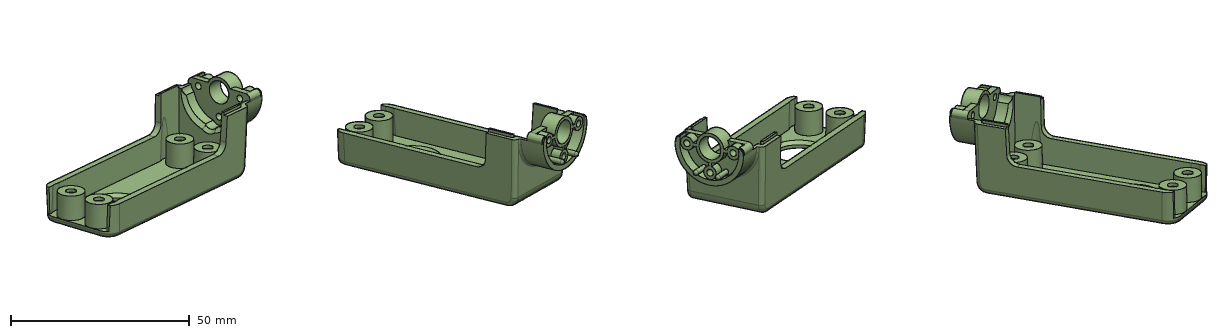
import cadquery as cq
import math

overall_width = 25.7
overall_height = 25.5
far = 144.1

axis_z = 21.05
wall_half_top = overall_width / 2
outer_draft = 1.7
rear_y_base = 61.4
front_corner_r = 4.0
rear_bottom_r = 3.2
edge_r = 1.4
floor_t = 2.0
cavity_half = 10.15
cavity_rear_y = 59.45
cavity_draft = 2.0
cavity_fillet = 0.95
side_wall_front_y = 1.0
low_wall_z = 10.0
step_y_top = 52.0
step_y_bottom = 51.7
step_r = 3.2

tongue_top = 21.9
tongue_half = 11.6
tongue_rear_y = 60.0
tongue_corner_r = 0.5

boss_x = 5.0
boss_ys = (4.0, 53.1)
boss_r_base = 3.95
boss_r_top = 3.9
boss_top = 9.4
boss_hole_r = 1.5
boss_bore_r = 2.5
boss_lip_t = 1.0
boss_clearance_r = 5.6
opening_y = 18.6
opening_r = 7.0
opening_chamfer = 1.0

flange_front_y = 64.5
web_back_y = 66.6
hub_back_y = 69.6
rim_back_y = 70.05
rim_r = 11.0
rim_t = 1.6
lip_inset = 0.2
flange_top = 23.05
hub_r = overall_height - axis_z
bore_r = 3.45
screw_circle_r = 7.4
screw_angles = (0, 180, 270)
screw_hole_r = 1.0
screw_boss_r = 2.0
rib_t = 1.0
recess_r = 9.15
recess_lobe_r = 2.5
flare_size = 0.95
junction_r = 0.6

pin_x = 3.5
pin_z = 13.55
pin_r = 0.8
pin_tip_y = 72.05
pin_round = 0.7


def box(x0, x1, y0, y1, z0, z1):
    return cq.Workplane("XY").box(x1 - x0, y1 - y0, z1 - z0, centered=False).translate((x0, y0, z0))


def disc(radius, y0, y1, x=0.0, z=axis_z):
    """Cylinder along Y between y0 and y1."""
    return cq.Workplane("XZ", origin=(x, y0, z)).circle(radius).extrude(y0 - y1)


def screw_points():
    """(x, z) centres of the flange screws."""
    points = []
    for angle in screw_angles:
        turn = math.radians(angle)
        points.append((screw_circle_r * math.cos(turn), axis_z + screw_circle_r * math.sin(turn)))
    return points


def drafted_block(half, y0, y1, z0, z1, draft):
    """Block given by its base; all four sides lean outward by the draft angle."""
    spread = (z1 - z0) * math.tan(math.radians(draft))
    width, length = 2 * half, y1 - y0
    return (
        cq.Workplane("XY", origin=(0, (y0 + y1) / 2, z0))
        .rect(width, length)
        .workplane(offset=z1 - z0)
        .rect(width + 2 * spread, length + 2 * spread)
        .loft(ruled=True)
    )


def outer_body():
    slope = math.tan(math.radians(outer_draft))
    base_half = wall_half_top - axis_z * slope
    base_front_y = floor_t * slope
    body = drafted_block(base_half, base_front_y, rear_y_base, 0, axis_z, outer_draft)
    body = body.edges("not #Z").edges("<Y").fillet(front_corner_r)
    body = body.faces("<Z").edges(">Y").fillet(rear_bottom_r)
    return body.faces("<Z").edges("<Y").fillet(edge_r)


def tongue():
    block = box(-tongue_half, tongue_half, step_y_bottom, tongue_rear_y, axis_z, tongue_top)
    return block.edges("|Z and >Y").fillet(tongue_corner_r)


def cavity():
    """Inside of the tray, running out through the front."""
    block = drafted_block(cavity_half, -far, cavity_rear_y, floor_t, tongue_top, cavity_draft)
    return block.faces("<Z").edges(">Y").fillet(cavity_fillet)


def front_cut():
    """Clears everything above the low side walls, with a rounded step up to the tall ones."""
    cut = (
        cq.Workplane("YZ")
        .moveTo(-far, low_wall_z)
        .lineTo(step_y_bottom - step_r, low_wall_z)
        .radiusArc((step_y_bottom, low_wall_z + step_r), -step_r)
        .lineTo(step_y_top, tongue_top)
        .lineTo(step_y_top, far)
        .lineTo(-far, far)
        .close()
        .extrude(far, both=True)
    )
    return cut.union(box(-far, far, -far, side_wall_front_y, floor_t, far))


def at_bosses(z):
    """Workplane at height z with the four boss centres on its stack."""
    centres = [(side * boss_x, y) for side in (-1, 1) for y in boss_ys]
    return cq.Workplane("XY", origin=(0, 0, z)).pushPoints(centres)


def floor_bosses():
    height = boss_top - floor_t
    draft = math.degrees(math.atan((boss_r_base - boss_r_top) / height))
    return at_bosses(floor_t).circle(boss_r_base).extrude(height, taper=draft)


def boss_clearances():
    """Relief posts around the bosses, stopping short of the fillet along the rear wall."""
    cut = None
    for x in (-boss_x, boss_x):
        for y in boss_ys:
            post = cq.Workplane("XY", origin=(x, y, floor_t)).circle(boss_clearance_r)
            post = post.extrude(tongue_top - floor_t)
            cut = post if cut is None else cut.union(post)
    return cut.intersect(box(-far, far, -far, cavity_rear_y - cavity_fillet, 0, far))


def boss_holes():
    screws = at_bosses(0).circle(boss_hole_r).extrude(boss_top)
    return screws.union(at_bosses(0).circle(boss_bore_r).extrude(boss_top - boss_lip_t))


def lamp_opening():
    """Round opening in the floor, chamfered from inside."""
    opening = cq.Workplane("XY", origin=(0, opening_y, 0)).circle(opening_r).extrude(floor_t)
    sink = (
        cq.Workplane("XY", origin=(0, opening_y, floor_t))
        .circle(opening_r + opening_chamfer)
        .workplane(offset=-opening_chamfer)
        .circle(opening_r)
        .loft()
    )
    return opening.union(sink)


def flange_outline(inset=0.0):
    """Half disc below the axis, squared off above it with rounded corners."""
    half = rim_r - inset
    top = flange_top - axis_z - inset
    corner_r = rim_t - inset
    return (
        cq.Workplane("XZ", origin=(0, rim_back_y, axis_z))
        .moveTo(-half, 0)
        .lineTo(-half, top - corner_r)
        .radiusArc((-half + corner_r, top), corner_r)
        .lineTo(half - corner_r, top)
        .radiusArc((half, top - corner_r), corner_r)
        .lineTo(half, 0)
        .threePointArc((0, -half), (-half, 0))
        .close()
    )


def flange():
    """Web plate with a rim around an open back, a hub, and screw bosses tied in by ribs."""
    plate = flange_outline().extrude(rim_back_y - flange_front_y)
    lip = flange_outline(lip_inset).extrude(rim_back_y - hub_back_y)
    plate = plate.cut(box(-far, far, hub_back_y, far, axis_z, far)).union(lip)
    inner_r = rim_r - rim_t
    plate = plate.cut(disc(inner_r, web_back_y, far))
    plate = plate.cut(box(-inner_r, inner_r, web_back_y, far, axis_z, far))
    plate = plate.union(disc(hub_r, flange_front_y, hub_back_y))
    for x, z in screw_points():
        plate = plate.union(disc(screw_boss_r, web_back_y, hub_back_y, x, z))
    half_rib = rib_t / 2
    side_rib = box(
        -screw_circle_r, screw_circle_r, web_back_y, hub_back_y, axis_z - half_rib, axis_z + half_rib
    )
    low_rib = box(-half_rib, half_rib, web_back_y, hub_back_y, axis_z - screw_circle_r, axis_z)
    return plate.union(side_rib).union(low_rib)


def neck():
    """Half cylinder joining the tray's rear wall to the flange, level with the wall tops."""
    cylinder = disc(rim_r, cavity_rear_y, flange_front_y)
    return cylinder.cut(box(-far, far, 0, far, axis_z, far))


def housing():
    """Tray body and neck, with the corner between the rear wall and the neck rounded."""
    joined = outer_body().union(neck())
    low = (-far, rear_y_base, 0)
    high = (far, flange_front_y - junction_r, axis_z - rim_r / 2)
    corner = cq.selectors.BoxSelector(low, high)
    return joined.edges("%BSPLINE or %ELLIPSE or %CIRCLE").edges(corner).fillet(junction_r)


def pins():
    """Round-tipped pins standing on the web."""
    both = None
    for side in (-1, 1):
        pin = disc(pin_r, web_back_y, pin_tip_y, side * pin_x, pin_z)
        pin = pin.faces(">Y").edges().fillet(pin_round)
        both = pin if both is None else both.union(pin)
    return both


def flare(radius, x, z):
    """45 degree cone that widens forward from the given radius, set back to suit the leaning rear wall."""
    depth = flare_size + (z - floor_t) * math.tan(math.radians(cavity_draft))
    return (
        cq.Workplane("XZ", origin=(x, cavity_rear_y + depth, z))
        .circle(radius)
        .workplane(offset=depth)
        .circle(radius + depth)
        .loft()
    )


def recess():
    """Round recess with a lobe around each screw; all but the side lobes have a flared mouth."""
    cut = disc(recess_r, cavity_rear_y, flange_front_y).union(flare(recess_r, 0, axis_z))
    for x, z in screw_points():
        cut = cut.union(disc(recess_lobe_r, cavity_rear_y, flange_front_y, x, z))
    return cut.union(flare(recess_lobe_r, 0, axis_z - screw_circle_r))


def flange_bores():
    """Central bore and screw holes through the flange."""
    cut = disc(bore_r, flange_front_y, far)
    for x, z in screw_points():
        cut = cut.union(disc(screw_hole_r, flange_front_y, far, x, z))
    return cut


result = (
    housing()
    .union(tongue())
    .cut(cavity().union(boss_clearances()))
    .cut(recess())
    .cut(front_cut())
    .union(flange())
    .union(floor_bosses())
    .cut(boss_holes())
    .cut(lamp_opening())
    .cut(flange_bores())
    .union(pins())
)